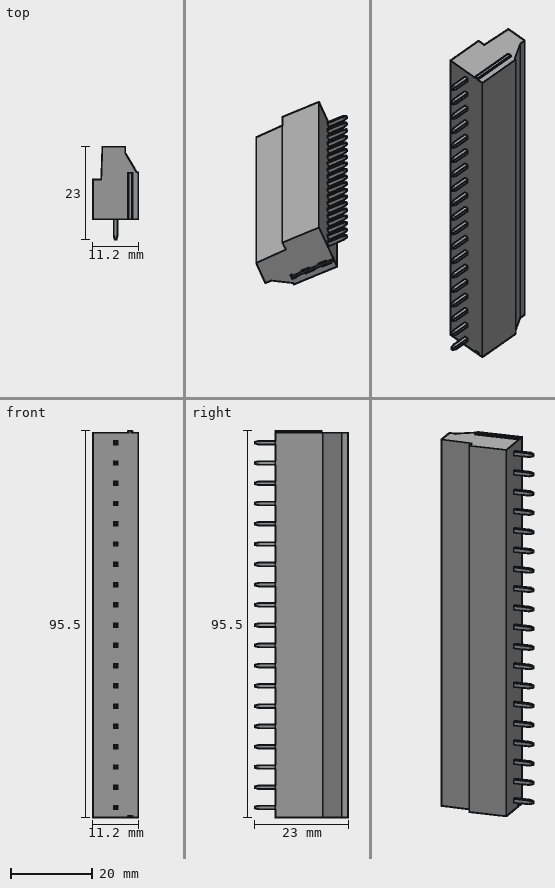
import cadquery as cq

overall_height = 95.5
overall_depth = 23.0
body_width = 11.2
body_depth = 18.0
pin_count = 19

ledge_depth = 9.8
ledge_width = 2.0
wall_lean = 0.3
back_right_x = 8.0
bevel_back_drop = 1.6
bevel_front_drop = 6.3
shoulder_width = 0.4

rail_height = 0.5
rail_length = 11.5
rail_center_x = 9.2
rail_base_width = 0.6
rail_widest_width = 1.2
rail_widest_height = 0.3
rail_crest_width = 0.8

pin_size = 1.0
tip_size = 0.5
tip_length = 1.0

body_height = overall_height - rail_height
pitch = body_height / pin_count
pin_length = overall_depth - body_depth
shank_length = pin_length - tip_length
pin_x = body_width / 2


def make_housing():
    """Stepped and bevelled profile in XY, extruded along Z."""
    bevel_start_y = body_depth - bevel_back_drop
    bevel_end_y = body_depth - bevel_front_drop
    outline = [
        (0, 0),
        (body_width, 0),
        (body_width, bevel_end_y),
        (body_width - shoulder_width, bevel_end_y),
        (back_right_x, bevel_start_y),
        (back_right_x, body_depth),
        (ledge_width + wall_lean, body_depth),
        (ledge_width, ledge_depth),
        (0, ledge_depth),
    ]
    return cq.Workplane("XY").polyline(outline).close().extrude(body_height)


def make_rail(base_z):
    """Six-sided bar, widest at mid-height, running back from the pin face."""
    half_widths = [
        (rail_base_width / 2, base_z),
        (rail_widest_width / 2, base_z + rail_widest_height),
        (rail_crest_width / 2, base_z + rail_height),
    ]
    right_side = [(rail_center_x + half, z) for half, z in half_widths]
    left_side = [(rail_center_x - half, z) for half, z in reversed(half_widths)]
    return cq.Workplane("XZ").polyline(right_side + left_side).close().extrude(-rail_length)


def make_pin(center_z):
    """Square shank with a tapered tip, pointing towards -Y."""
    shank = (
        cq.Workplane("XZ")
        .center(pin_x, center_z)
        .rect(pin_size, pin_size)
        .extrude(shank_length)
    )
    tip = (
        shank.faces("<Y")
        .workplane(centerOption="CenterOfMass")
        .rect(pin_size, pin_size)
        .workplane(offset=tip_length)
        .rect(tip_size, tip_size)
        .loft(combine=False)
    )
    return shank.union(tip)


result = make_housing().union(make_rail(body_height)).cut(make_rail(0))
for index in range(pin_count):
    result = result.union(make_pin((index + 0.5) * pitch))